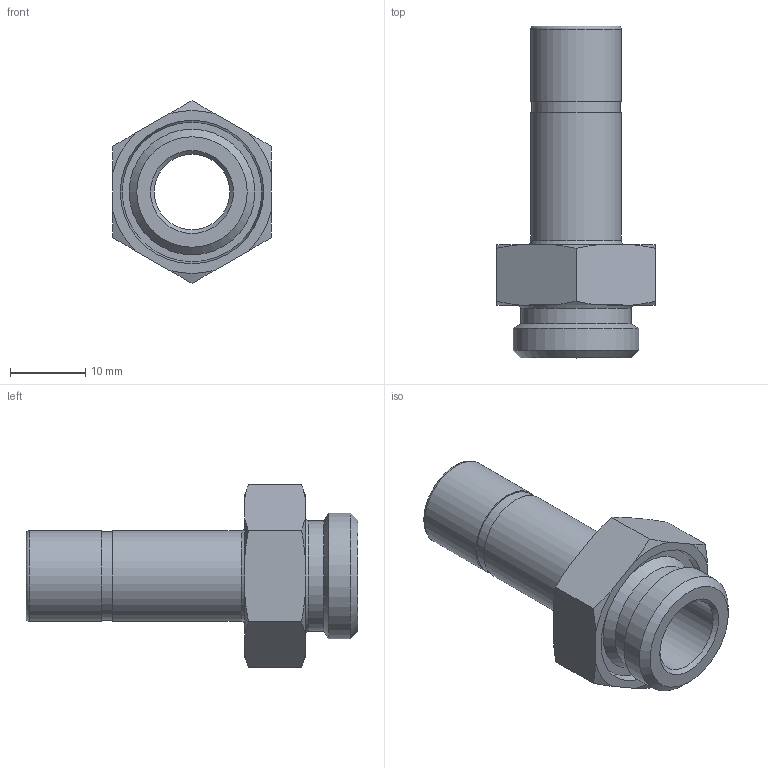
import cadquery as cq
import math

total_length = 44.0

thread_diameter = 16.66
neck_diameter = 14.6
entry_chamfer = 1.0
thread_end = 3.9
runout_length = 0.6
flare_start = 6.6
flare_angle = 30.0

hex_sides = 6
hex_across_flats = 21.0
hex_front = 7.0
hex_length = 8.0
hex_back = hex_front + hex_length
hex_face_diameter = 21.6
hex_chamfer_angle = 20.0

groove_mouth_diameter = 19.0
groove_floor_diameter = 18.5
groove_depth = 1.0
groove_floor = hex_front + groove_depth

tube_diameter = 12.0
tube_end_round = 0.4
root_flare_width = 0.2
root_flare_length = 0.5
grip_groove_diameter = 11.7
grip_groove_setback = 10.0
grip_groove_width = 1.5
grip_groove_end = total_length - grip_groove_setback
grip_groove_start = grip_groove_end - grip_groove_width

bore_diameter = 10.0
bore_mouth_diameter = 11.0
bore_chamfer_length = (bore_mouth_diameter - bore_diameter) / 2


def turned(profile):
    """Revolve a closed (radius, Y) outline about the Y axis."""
    return cq.Workplane("XY").polyline(profile).close().revolve(360, (0, 0, 0), (0, 1, 0))


def make_spigot():
    """Threaded end with its neck, flaring out conically into the floor of the seal groove."""
    thread_radius = thread_diameter / 2
    neck_radius = neck_diameter / 2
    flare_length = groove_floor - flare_start
    flare_radius = neck_radius + flare_length * math.tan(math.radians(flare_angle))
    return turned([
        (0, 0),
        (thread_radius - entry_chamfer, 0),
        (thread_radius, entry_chamfer),
        (thread_radius, thread_end),
        (neck_radius, thread_end + runout_length),
        (neck_radius, flare_start),
        (flare_radius, groove_floor),
        (0, groove_floor),
    ])


def make_hexagon():
    """Hexagon with corners on +Z and -Z, its corners turned down by a cone at both ends."""
    corner_radius = hex_across_flats / 2 / math.cos(math.pi / hex_sides)
    face_radius = hex_face_diameter / 2
    corner_drop = (corner_radius - face_radius) * math.tan(math.radians(hex_chamfer_angle))
    prism = (
        cq.Workplane("XZ", origin=(0, hex_back, 0))
        .polygon(hex_sides, 2 * corner_radius)
        .extrude(hex_length)
        .rotate((0, 0, 0), (0, 1, 0), 180 / hex_sides)
    )
    envelope = turned([
        (0, hex_front),
        (face_radius, hex_front),
        (corner_radius, hex_front + corner_drop),
        (corner_radius, hex_back - corner_drop),
        (face_radius, hex_back),
        (0, hex_back),
    ])
    return prism.intersect(envelope)


def make_seal_recess():
    """Tapered recess in the front face of the hexagon; the spigot fills its middle."""
    return turned([
        (0, hex_front),
        (groove_mouth_diameter / 2, hex_front),
        (groove_floor_diameter / 2, groove_floor),
        (0, groove_floor),
    ])


def make_tube():
    """Plain tube with a small flare at the hexagon, a shallow grip groove and a rounded end."""
    tube_radius = tube_diameter / 2
    grip_radius = grip_groove_diameter / 2
    tube = turned([
        (0, hex_back),
        (tube_radius + root_flare_width, hex_back),
        (tube_radius, hex_back + root_flare_length),
        (tube_radius, grip_groove_start),
        (grip_radius, grip_groove_start),
        (grip_radius, grip_groove_end),
        (tube_radius, grip_groove_end),
        (tube_radius, total_length),
        (0, total_length),
    ])
    return tube.faces(">Y").edges().fillet(tube_end_round)


def make_bore():
    """Through bore with a chamfered mouth at the threaded end."""
    bore_radius = bore_diameter / 2
    return turned([
        (0, 0),
        (bore_mouth_diameter / 2, 0),
        (bore_radius, bore_chamfer_length),
        (bore_radius, total_length),
        (0, total_length),
    ])


body = make_hexagon().cut(make_seal_recess())
body = body.union(make_spigot()).union(make_tube())
result = body.cut(make_bore())